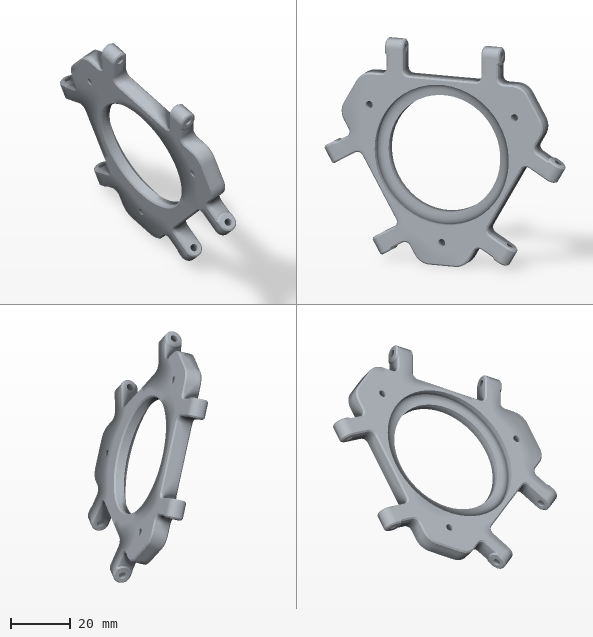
import cadquery as cq
import math

sector_angles = (0, 120, 240)
sin30 = 0.5
cos30 = math.sqrt(3) / 2

overall_width = 85.8
thickness = 6
back_y = thickness / 2
edge_chamfer = 0.5
side_distance = 26.0
lobe_distance = 38.0
lobe_corner_radius = 6
bore_radius = 20.0
seat_radius = 24
seat_depth = 2.5

hole_diameter = 2.5
mount_hole_distance = 30

arm_inner = 14.0
arm_outer = 20.0
root_fillet = 2.0
boss_height = edge_chamfer
knuckle_radius = thickness / 2

boss_face = arm_outer + boss_height

arm_tip = (overall_width / 2 - arm_outer * sin30) / cos30
pin_height = arm_tip - knuckle_radius


def around_axis(shape):
    """Three copies of a shape, spaced evenly about the Y axis."""
    copies = cq.Workplane("XZ")
    for angle in sector_angles:
        copies = copies.add(shape.rotate((0, 0, 0), (0, 1, 0), angle))
    return copies.combine()


def block(x_start, x_end, z_start, z_end):
    """Block of full plate thickness."""
    return (
        cq.Workplane("XY")
        .box(x_end - x_start, thickness, z_end - z_start, centered=(False, True, False))
        .translate((x_start, 0, z_start))
    )


def pair(shape):
    """A shape together with its mirror image across X = 0."""
    return shape.union(shape.mirror("YZ"))


def disc(radius, y_start, y_end, z=0):
    """Cylinder along Y, its axis at X = 0 and the given height."""
    return cq.Workplane("XZ", origin=(0, y_end, z)).circle(radius).extrude(y_end - y_start)


def knuckle():
    """Round arm end with chamfered outline; its outer boss slopes down to the arm on a cone."""
    length = boss_face - arm_inner
    bottom = pin_height - 2 * knuckle_radius
    shape = (
        cq.Workplane("YZ", origin=(arm_inner, 0, 0))
        .moveTo(-knuckle_radius, bottom)
        .lineTo(knuckle_radius, bottom)
        .lineTo(knuckle_radius, pin_height)
        .threePointArc((0, arm_tip), (-knuckle_radius, pin_height))
        .close()
        .extrude(length)
    )
    shape = shape.faces("<X or >X").edges().chamfer(edge_chamfer)
    boss_cone = cq.Solid.makeCone(
        knuckle_radius + length,
        knuckle_radius,
        length,
        pnt=cq.Vector(arm_inner, 0, pin_height),
        dir=cq.Vector(1, 0, 0),
    )
    return shape.intersect(cq.Workplane(boss_cone))


def plate_blank():
    """Hexagon with alternating long sides and lobe flats, its corners rounded."""
    corner_x = (lobe_distance - side_distance * sin30) / cos30
    corner_radius = math.hypot(corner_x, side_distance)
    corner_angle = math.degrees(math.atan2(side_distance, corner_x))
    corners = []
    for sector in sector_angles:
        for angle in (corner_angle, 180 - corner_angle):
            turn = math.radians(angle + sector)
            corners.append((corner_radius * math.cos(turn), corner_radius * math.sin(turn)))
    hexagon = cq.Workplane("XZ", origin=(0, back_y, 0)).polyline(corners).close().extrude(thickness)
    return hexagon.edges("|Y").fillet(lobe_corner_radius)


def is_arm_root(edge):
    """True for the edges where an arm side meets a long side of the plate."""
    middle = edge.Center()
    distance = math.hypot(middle.x, middle.z)
    roots = (math.hypot(arm_inner, side_distance), math.hypot(arm_outer, side_distance))
    return any(math.isclose(distance, root, abs_tol=0.01) for root in roots)


arms = around_axis(pair(block(arm_inner, arm_outer, 0, arm_tip)))
body = plate_blank().union(arms)
body = body.edges("|Y").filter(is_arm_root).fillet(root_fillet)

body = body.cut(disc(bore_radius, back_y - thickness, back_y))
body = body.faces("<Y or >Y").edges().chamfer(edge_chamfer)

body = body.cut(disc(seat_radius, back_y - seat_depth, back_y))

arm_ends = around_axis(pair(block(arm_inner, arm_outer, pin_height, arm_tip)))
body = body.cut(arm_ends).union(around_axis(pair(knuckle())))

pin_hole = (
    cq.Workplane("YZ", origin=(arm_inner, 0, pin_height))
    .circle(hole_diameter / 2)
    .extrude(boss_face - arm_inner)
)
body = body.cut(around_axis(pair(pin_hole)))

mount_hole = disc(hole_diameter / 2, back_y - thickness, back_y, z=-mount_hole_distance)
result = body.cut(around_axis(mount_hole))